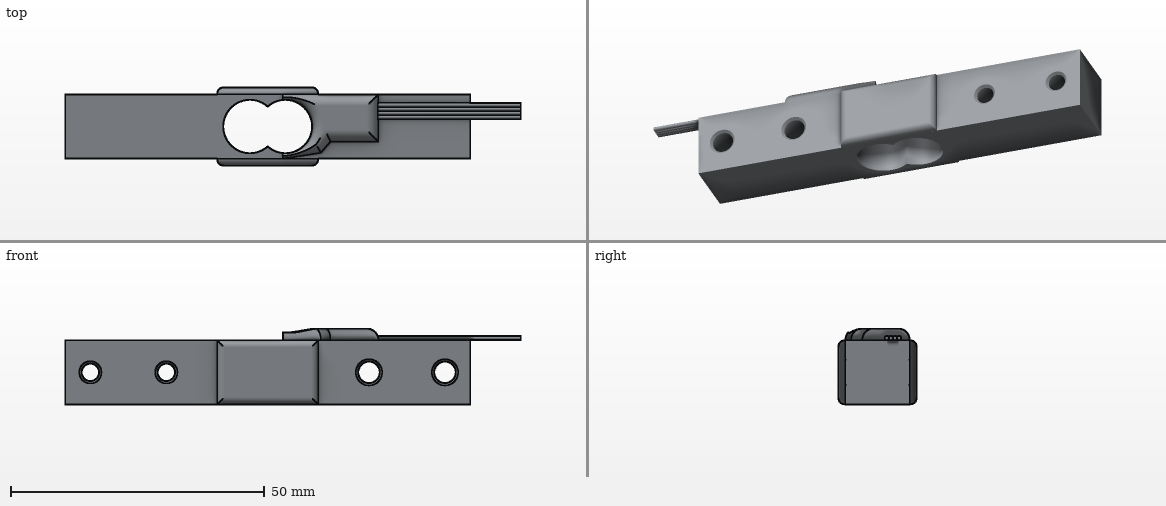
import cadquery as cq

BEAM_LENGTH = 80.0
BEAM_SIDE = 12.7
HALF_SIDE = BEAM_SIDE / 2

BORE_RADIUS = 5.25
BORE_OFFSET = 3.5

HOLE_STATIONS = (20.0, 35.0)
SMALL_HOLE_DIAMETER = 3.4
LARGE_HOLE_DIAMETER = 4.2
HOLE_CHAMFER = 0.5

ROUND_LAND = 0.05

OVERALL_WIDTH = 15.5
PAD_LENGTH = 20.0
PAD_THICKNESS = (OVERALL_WIDTH - BEAM_SIDE) / 2
PAD_ROUND = PAD_THICKNESS - ROUND_LAND

OVERALL_HEIGHT = 15.0
COVER_HEIGHT = OVERALL_HEIGHT - BEAM_SIDE
COVER_ROUND = COVER_HEIGHT - ROUND_LAND
COVER_START_X = 3.0
COVER_END_X = 21.85
COVER_LOW_Y = -3.0
COVER_NECK_X = 12.4
COVER_SHOULDER_X = 10.5
COVER_SHOULDER_Y = -5.2

WIRE_COUNT = 4
WIRE_DIAMETER = 0.85
WIRE_PITCH = 0.8
WIRE_OVERHANG = 10.0
WIRE_EMBED = 1.0
RIBBON_CENTER_Y = 3.05


def mounting_hole(x, diameter):
    """Cutter for a hole through the beam along Y, widened at both mouths."""
    radius = diameter / 2
    mouth_radius = radius + HOLE_CHAMFER
    profile = (
        cq.Workplane("XY")
        .moveTo(0, -HALF_SIDE)
        .lineTo(mouth_radius, -HALF_SIDE)
        .lineTo(radius, -HALF_SIDE + HOLE_CHAMFER)
        .lineTo(radius, HALF_SIDE - HOLE_CHAMFER)
        .lineTo(mouth_radius, HALF_SIDE)
        .lineTo(0, HALF_SIDE)
        .close()
    )
    cutter = profile.revolve(360, (0, 0, 0), (0, 1, 0))
    return cutter.translate((x, 0, HALF_SIDE))


def make_beam():
    """Square bar with the double-bore window and four mounting holes."""
    beam = cq.Workplane("XY").box(BEAM_LENGTH, BEAM_SIDE, BEAM_SIDE, centered=(True, True, False))
    for x in (-BORE_OFFSET, BORE_OFFSET):
        beam = beam.cut(cq.Workplane("XY").center(x, 0).circle(BORE_RADIUS).extrude(BEAM_SIDE))
    for station in HOLE_STATIONS:
        beam = beam.cut(mounting_hole(-station, SMALL_HOLE_DIAMETER))
        beam = beam.cut(mounting_hole(station, LARGE_HOLE_DIAMETER))
    return beam


def make_pad(side):
    """Pad on the side face at -Y (side = -1) or +Y (side = 1), rounded on its outer rim."""
    center_y = side * (HALF_SIDE + PAD_THICKNESS / 2)
    outer_face = ">Y" if side > 0 else "<Y"
    return (
        cq.Workplane("XY")
        .box(PAD_LENGTH, PAD_THICKNESS, BEAM_SIDE)
        .faces(outer_face)
        .edges()
        .fillet(PAD_ROUND)
        .translate((0, center_y, HALF_SIDE))
    )


def cover_tail():
    """Straight part of the cover that leads to the wires."""
    return (
        cq.Workplane("XY")
        .box(COVER_END_X - COVER_START_X, HALF_SIDE - COVER_LOW_Y, COVER_HEIGHT, centered=False)
        .faces(">Z")
        .edges(">X or >Y or <Y")
        .fillet(COVER_ROUND)
        .translate((COVER_START_X, COVER_LOW_Y, BEAM_SIDE))
    )


def cover_collar():
    """Wide part of the cover around the bore, with a slanted shoulder on the -Y side."""
    outline = [
        (COVER_START_X, HALF_SIDE),
        (COVER_NECK_X, HALF_SIDE),
        (COVER_NECK_X, COVER_LOW_Y),
        (COVER_SHOULDER_X, COVER_SHOULDER_Y),
        (COVER_START_X, -HALF_SIDE),
    ]
    collar = cq.Workplane("XY", origin=(0, 0, BEAM_SIDE)).polyline(outline).close().extrude(COVER_HEIGHT)
    rounded_edges = collar.faces(">Z").edges("not (<X or >X)")
    return rounded_edges.fillet(COVER_ROUND)


def bore_clearance():
    """Cutter that continues the bore up through the cover and rounds over its rim."""
    round_start_z = OVERALL_HEIGHT - COVER_ROUND
    rim_radius = BORE_RADIUS + COVER_ROUND
    profile = (
        cq.Workplane("XZ")
        .moveTo(0, BEAM_SIDE)
        .lineTo(BORE_RADIUS, BEAM_SIDE)
        .lineTo(BORE_RADIUS, round_start_z)
        .radiusArc((rim_radius, OVERALL_HEIGHT), COVER_ROUND)
        .lineTo(0, OVERALL_HEIGHT)
        .close()
    )
    return profile.revolve(360, (0, 0, 0), (0, 1, 0)).translate((BORE_OFFSET, 0, 0))


def make_ribbon():
    """Row of parallel round wires lying on the beam and running past its +X end."""
    start_x = COVER_END_X - WIRE_EMBED
    length = BEAM_LENGTH / 2 + WIRE_OVERHANG - start_x
    first_y = RIBBON_CENTER_Y - WIRE_PITCH * (WIRE_COUNT - 1) / 2
    center_z = BEAM_SIDE + WIRE_DIAMETER / 2
    ribbon = cq.Workplane("YZ")
    for index in range(WIRE_COUNT):
        origin = (start_x, first_y + index * WIRE_PITCH, center_z)
        ribbon = ribbon.union(cq.Workplane("YZ", origin=origin).circle(WIRE_DIAMETER / 2).extrude(length))
    return ribbon


def make_wire_cover():
    """Cover and its ribbon of wires as one body."""
    return cover_tail().union(cover_collar()).cut(bore_clearance()).union(make_ribbon())


beam = make_beam()
pads = [make_pad(side) for side in (-1, 1)]
wire_cover = make_wire_cover()

result = cq.Compound.makeCompound(
    [
        *beam.solids().vals(),
        *[pad.val() for pad in pads],
        *wire_cover.solids().vals(),
    ]
)